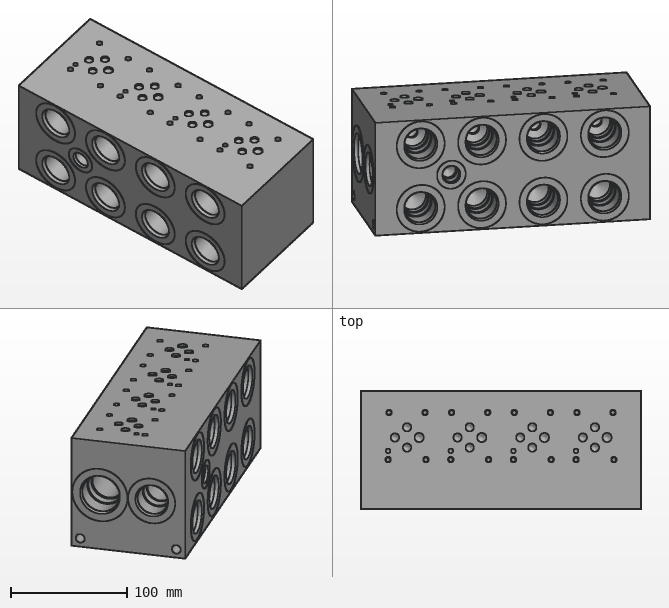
import cadquery as cq
import math

LENGTH = 241.05
WIDTH = 101.6
HEIGHT = 101.6

STATION_COUNT = 4
STATION_PITCH = 53.85
FIRST_STATION_X = (LENGTH - (STATION_COUNT - 1) * STATION_PITCH) / 2
STATION_XS = [FIRST_STATION_X + i * STATION_PITCH for i in range(STATION_COUNT)]

DRILL_POINT_ANGLE = 118.0

SPOTFACE_DEPTH = 0.4
SIZE_12_PORT = dict(
    spotface=42.04, seat_depth=3.3, seat_mouth=29.2, seat_root=27.43,
    thread=26.99, thread_depth=19.3, tap_bore=24.92, tap_depth=28.0, rear_bore=23.01,
)
SIZE_16_PORT = dict(
    spotface=49.2, seat_depth=3.3, seat_mouth=35.6, seat_root=33.8,
    thread=33.34, thread_depth=19.3, tap_bore=31.27, tap_depth=28.0, rear_bore=28.57,
)
SIZE_6_PORT = dict(
    spotface=25.2, seat_depth=2.5, seat_mouth=15.7, seat_root=14.5,
    thread=14.29, thread_depth=12.0, tap_bore=12.9, tap_depth=14.0,
)

PORT_A_Z = 22.225
PORT_B_Z = 79.375
VALVE_PORT_DEPTH = 35.0
PORT_B_PASSAGE_DIAMETER = 10.72
PORT_B_PASSAGE_DEPTH = 42.0
GAUGE_PORT_X = FIRST_STATION_X + STATION_PITCH / 2
GAUGE_PORT_Z = HEIGHT / 2

GALLERY_Z = HEIGHT / 2
TANK_Y = WIDTH - 25.4
PRESSURE_Y = 30.0
GALLERY_DEPTH = LENGTH - 35.0

END_HOLE_INSET = 7.92
END_HOLE_DRILL = 6.53
END_HOLE_THREAD = 7.92
END_HOLE_THREAD_DEPTH = 16.0
END_HOLE_DEPTH = 22.0

VALVE_CENTRE_U = 15.5
VALVE_ORIGIN_Y = 83.05
VALVE_PASSAGES = [
    (5.1, 21.5, 7.14),
    (15.5, 12.7, 7.14),
    (15.5, 30.2, 7.14),
    (25.9, 21.5, 7.92),
]
VALVE_PASSAGE_DEPTH = 2.0
VALVE_BOLTS = [(0, 0), (31.0, 0), (-0.75, 40.5), (31.75, 40.5)]
BOLT_DRILL = 3.79
BOLT_THREAD = 4.83
BOLT_THREAD_DEPTH = 12.0
BOLT_DEPTH = 16.0
LOCATING_PIN = (-0.75, 33.0)
PIN_DIAMETER = 3.96
PIN_DEPTH = 6.0


def point_length(diameter):
    """Length of the conical drill point of a bore."""
    return diameter / 2 / math.tan(math.radians(DRILL_POINT_ANGLE / 2))


def revolve_cutter(steps, origin, direction):
    """Turn (depth, diameter) steps, ended by a drill point, into a cutter going inwards."""
    last_depth, last_diameter = steps[-1]
    outline = [(0, 0)]
    outline += [(diameter / 2, depth) for depth, diameter in steps]
    outline.append((0, last_depth + point_length(last_diameter)))
    side = (0, 1, 0) if direction[1] == 0 else (1, 0, 0)
    normal = cq.Vector(*side).cross(cq.Vector(*direction))
    plane = cq.Plane(origin=origin, xDir=side, normal=normal)
    return cq.Workplane(plane).polyline(outline).close().revolve(360, (0, 0), (0, 1)).val()


def drilled_hole(diameter, depth, origin, direction):
    return revolve_cutter([(0, diameter), (depth, diameter)], origin, direction)


def tapped_hole(thread, thread_depth, drill, depth, origin, direction):
    """Thread at its major diameter with the tap drill running on below it."""
    steps = [(0, thread), (thread_depth, thread), (thread_depth, drill), (depth, drill)]
    return revolve_cutter(steps, origin, direction)


def port(size, origin, direction, rear_depth=None):
    """O-ring port; a rear depth continues it with the rear bore of its size."""
    seat_end = SPOTFACE_DEPTH + size["seat_depth"]
    steps = [
        (0, size["spotface"]),
        (SPOTFACE_DEPTH, size["spotface"]),
        (SPOTFACE_DEPTH, size["seat_mouth"]),
        (seat_end, size["seat_root"]),
        (seat_end, size["thread"]),
        (size["thread_depth"], size["thread"]),
        (size["thread_depth"], size["tap_bore"]),
        (size["tap_depth"], size["tap_bore"]),
    ]
    if rear_depth is not None:
        steps.append((size["tap_depth"], size["rear_bore"]))
        steps.append((rear_depth, size["rear_bore"]))
    return revolve_cutter(steps, origin, direction)


def front_ports():
    inward = (0, 1, 0)
    cutters = [port(SIZE_6_PORT, (GAUGE_PORT_X, 0, GAUGE_PORT_Z), inward)]
    for x in STATION_XS:
        b_origin = (x, 0, PORT_B_Z)
        cutters.append(port(SIZE_12_PORT, (x, 0, PORT_A_Z), inward, VALVE_PORT_DEPTH))
        cutters.append(port(SIZE_12_PORT, b_origin, inward, VALVE_PORT_DEPTH))
        cutters.append(drilled_hole(PORT_B_PASSAGE_DIAMETER, PORT_B_PASSAGE_DEPTH, b_origin, inward))
    return cutters


def end_face_holes():
    inward = (1, 0, 0)
    cutters = [
        port(SIZE_16_PORT, (0, TANK_Y, GALLERY_Z), inward, GALLERY_DEPTH),
        port(SIZE_12_PORT, (0, PRESSURE_Y, GALLERY_Z), inward, GALLERY_DEPTH),
    ]
    for y in (END_HOLE_INSET, WIDTH - END_HOLE_INSET):
        origin = (0, y, END_HOLE_INSET)
        hole = tapped_hole(
            END_HOLE_THREAD, END_HOLE_THREAD_DEPTH, END_HOLE_DRILL, END_HOLE_DEPTH, origin, inward
        )
        cutters.append(hole)
    return cutters


def valve_station_holes(station_x):
    inward = (0, 0, -1)

    def on_top(u, v):
        return (station_x + u - VALVE_CENTRE_U, VALVE_ORIGIN_Y - v, HEIGHT)

    cutters = [drilled_hole(PIN_DIAMETER, PIN_DEPTH, on_top(*LOCATING_PIN), inward)]
    for u, v, diameter in VALVE_PASSAGES:
        cutters.append(drilled_hole(diameter, VALVE_PASSAGE_DEPTH, on_top(u, v), inward))
    for u, v in VALVE_BOLTS:
        hole = tapped_hole(
            BOLT_THREAD, BOLT_THREAD_DEPTH, BOLT_DRILL, BOLT_DEPTH, on_top(u, v), inward
        )
        cutters.append(hole)
    return cutters


block = cq.Workplane("XY").box(LENGTH, WIDTH, HEIGHT, centered=False)
cutters = front_ports() + end_face_holes()
for station_x in STATION_XS:
    cutters += valve_station_holes(station_x)
result = cq.Workplane(block.val().cut(*cutters))